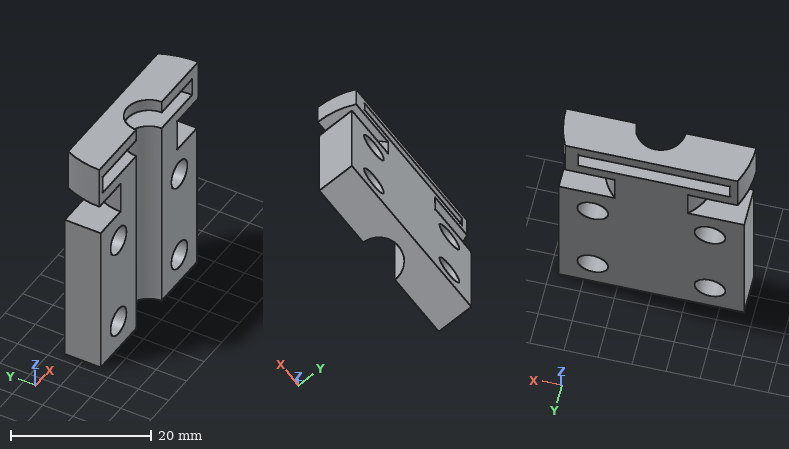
import cadquery as cq

height = 37.0
thickness = 6.0
body_width = 27.27
body_height = 24.98

head_radius = 28.0 / 2
head_height = 6.85
head_bottom = height - head_height
neck_radius = 8.03

slot_radius = 12.65
slot_height = 2.92
slot_offset = -0.4
slot_bottom = head_bottom + (head_height - slot_height) / 2

bore_radius = 3.6

hole_diameter = 4.5
hole_spacing_x = 17.2
hole_spacing_z = 15.02
lowest_hole_z = 5.0


def half_disc(radius, bottom, top, center_x=0):
    """Disc about a vertical axis in the front face, trimmed to the block thickness."""
    disc = cq.Workplane("XY", origin=(center_x, 0, bottom)).circle(radius).extrude(top - bottom)
    trim = cq.Workplane("XY", origin=(center_x, 0, bottom)).box(
        2 * radius, thickness, top - bottom, centered=(True, False, False)
    )
    return disc.intersect(trim)


def cross_holes():
    """Four holes running through the block along Y."""
    middle_z = lowest_hole_z + hole_spacing_z / 2
    return (
        cq.Workplane("XZ", origin=(0, 0, middle_z))
        .rarray(hole_spacing_x, hole_spacing_z, 2, 2)
        .circle(hole_diameter / 2)
        .extrude(-thickness)
    )


body = cq.Workplane("XY").box(body_width, thickness, body_height, centered=(True, False, False))
neck = half_disc(neck_radius, body_height, head_bottom)
head = half_disc(head_radius, head_bottom, height)
slot = half_disc(slot_radius, slot_bottom, slot_bottom + slot_height, slot_offset)
bore = cq.Workplane("XY").circle(bore_radius).extrude(height)

result = body.union(neck).union(head).cut(slot).cut(bore).cut(cross_holes())